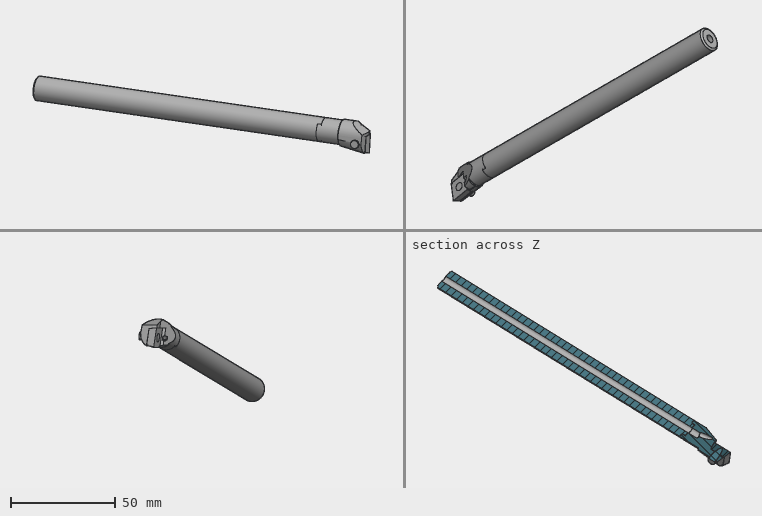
import cadquery as cq
import math

overall_length = 170.0
shank_radius = 6.0
rear_chamfer_length = 0.75
rear_chamfer_depth = 1.0
bore_radius = 2.0
bore_length = 152.0
drill_point_angle = 118.0
outlet_radius = 1.2
outlet_offset = 0.8
outlet_angle = 20.0

joint_x = 145.0
tongue_length = 2.0
tongue_width = 8.0

head_radius = 6.5
collar_start_x = 156.0
collar_end_x = 156.4
drop_angle = 10.0
nose_cut_start_x = 162.0
nose_cut_angle = 30.0
insert_overhang = 0.4
gullet_ramp_end_x = 165.0
gullet_ramp_angle = 19.0
underside_start_z = 0.35
underside_radius = 6.85
cheek_top = 1.0

seat_tilt = 9.0
insert_edge = 9.67
insert_thickness = 3.97
insert_clearance = 11.0
tip_y = 0.2
tip_z = -8.88

screw_radius = 2.0
screw_end_y = -8.2

reach = 20.0

tilt = math.radians(seat_tilt)
drop = math.radians(drop_angle)
clearance = math.tan(math.radians(insert_clearance))
head_end_x = overall_length - insert_overhang
edge_run = insert_edge * math.cos(drop)
edge_rise = insert_edge * math.sin(drop)
insert_centre = (-edge_run / 2, (insert_edge + edge_rise) / 2)
screw_centre_y = tip_y + insert_centre[1] * math.sin(tilt)
screw_length = (screw_centre_y - screw_end_y - screw_radius * math.sin(tilt)) / math.cos(tilt)

into_head = (0, -math.cos(tilt), math.sin(tilt))
seat = cq.Plane(origin=(overall_length, tip_y, tip_z), xDir=(1, 0, 0), normal=into_head)
along_seat = (0, math.sin(tilt), math.cos(tilt))
seat_side = cq.Plane(
    origin=(0, tip_y, tip_z), xDir=(1, 0, 0), normal=along_seat
)


def revolved(profile):
    """Turn an (x, radius) profile about the bar axis."""
    return cq.Workplane("XZ").polyline(profile).close().revolve(360, (0, 0, 0), (1, 0, 0))


def make_tongue():
    tongue = cq.Workplane("XY").box(
        tongue_length, tongue_width, 2 * reach, centered=(False, True, True)
    )
    envelope = revolved([
        (joint_x, 0),
        (joint_x, shank_radius),
        (joint_x + tongue_length, shank_radius),
        (joint_x + tongue_length, 0),
    ])
    return tongue.translate((joint_x, 0, 0)).intersect(envelope)


def make_bore():
    """Drilled coolant bore, with an outlet leaning towards the cutting corner."""
    lean = math.radians(outlet_angle)
    sideways = math.sin(lean) / math.sqrt(2)
    outlet = cq.Workplane(cq.Plane(
        origin=(bore_length, outlet_offset, -outlet_offset),
        xDir=(0, 1, 1),
        normal=(math.cos(lean), sideways, -sideways),
    )).circle(outlet_radius).extrude(reach)
    tip_length = bore_radius / math.tan(math.radians(drill_point_angle / 2))
    bore = revolved([
        (0, 0),
        (0, bore_radius),
        (bore_length, bore_radius),
        (bore_length + tip_length, 0),
    ])
    return bore.union(outlet)


def insert_outline():
    """Insert rhombus on the rake face, its lower front corner at the seat origin."""
    return cq.Workplane(seat).polyline([
        (0, 0),
        (0, insert_edge),
        (-edge_run, insert_edge + edge_rise),
        (-edge_run, edge_rise),
    ]).close()


def make_insert_blank():
    return insert_outline().extrude(insert_thickness, taper=insert_clearance)


def make_shank():
    body = revolved([
        (0, 0),
        (0, shank_radius - rear_chamfer_depth),
        (rear_chamfer_length, shank_radius),
        (joint_x, shank_radius),
        (joint_x, 0),
    ])
    return body.union(make_tongue()).cut(make_bore())


def make_screw():
    return cq.Workplane(seat).center(*insert_centre).circle(screw_radius).extrude(screw_length)


def make_head_barrel():
    """Neck, collar and straight barrel."""
    return revolved([
        (joint_x, 0),
        (joint_x, shank_radius),
        (collar_start_x, shank_radius),
        (collar_end_x, head_radius),
        (head_end_x, head_radius),
        (head_end_x, 0),
    ])


def make_underside():
    """Sloped barrel and flat-sided filler that carry the insert from below."""
    length = head_end_x - collar_end_x
    fall = length * math.tan(drop)
    slope = cq.Plane(
        origin=(collar_end_x, 0, underside_start_z),
        xDir=(0, 1, 0),
        normal=(math.cos(drop), 0, -math.sin(drop)),
    )
    barrel = cq.Workplane(slope).circle(underside_radius).extrude(2 * reach, both=True)
    filler = cq.Workplane("XZ").polyline([
        (collar_end_x, cheek_top),
        (head_end_x, cheek_top),
        (head_end_x, -fall),
        (collar_end_x, 0),
    ]).close().extrude(reach)
    tilted_axis = cq.Plane(origin=(collar_end_x, 0, 0), xDir=(1, 0, 0), normal=into_head)
    bounds = cq.Workplane(tilted_axis).polyline([
        (0, 0),
        (length, 0),
        (length, -reach),
        (0, -reach),
    ]).close().extrude(head_radius)
    return barrel.union(filler).intersect(bounds)


def make_nose_cut():
    """Sloping flat across the top of the nose."""
    fall = reach * math.tan(math.radians(nose_cut_angle))
    return cq.Workplane("XZ").polyline([
        (nose_cut_start_x, head_radius),
        (nose_cut_start_x + reach, head_radius - fall),
        (nose_cut_start_x + reach, head_radius + reach),
        (nose_cut_start_x, head_radius + reach),
    ]).close().extrude(reach, both=True)


def make_end_relief():
    """Relief of the front face, parallel to the insert's end flank."""
    offset = reach * clearance
    return cq.Workplane("XY").polyline([
        (head_end_x + offset, reach),
        (head_end_x - offset, -reach),
        (head_end_x + reach, -reach),
        (head_end_x + reach, reach),
    ]).close().extrude(reach, both=True)


def make_gullet():
    """Chip gullet: open above the rake plane, with a ramp back to the neck."""
    ramp_height = reach * math.tan(math.radians(gullet_ramp_angle))
    return cq.Workplane(seat_side).polyline([
        (gullet_ramp_end_x, 0),
        (overall_length + reach, 0),
        (overall_length + reach, reach),
        (gullet_ramp_end_x - reach, reach),
        (gullet_ramp_end_x - reach, ramp_height),
    ]).close().extrude(2 * reach, both=True)


def make_insert_pocket():
    """Seat of the insert, open towards the gullet and below the insert."""
    above = insert_outline().extrude(-reach)
    flank_shift = insert_thickness * clearance
    below = cq.Workplane(seat).polyline([
        (-edge_run, edge_rise + flank_shift),
        (0, flank_shift),
        (0, -reach),
        (-edge_run, -reach),
    ]).close().extrude(insert_thickness)
    return above.union(below).union(make_insert_blank())


def make_head():
    head = make_head_barrel().union(make_underside())
    head = head.cut(make_nose_cut()).cut(make_end_relief())
    head = head.cut(make_gullet()).cut(make_insert_pocket())
    return head.cut(make_screw()).cut(make_tongue()).cut(make_bore())


shank = make_shank()
head = make_head()
screw = make_screw()
insert = make_insert_blank().cut(screw)

result = cq.Compound.makeCompound([shank.val(), head.val(), insert.val(), screw.val()])